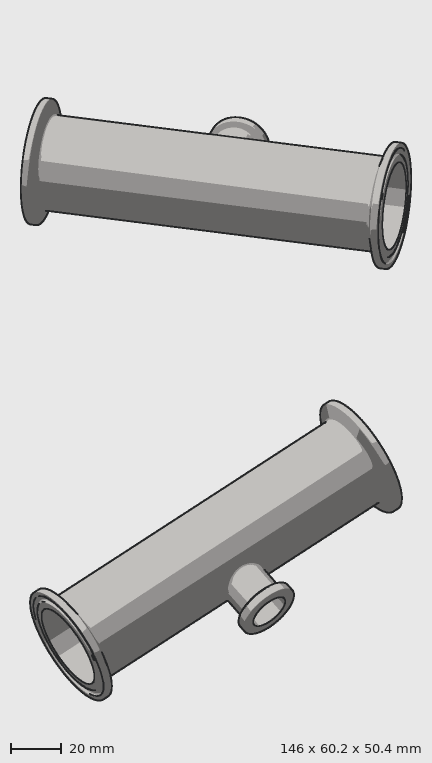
import cadquery as cq
import math

run_length = 146
run_outer_dia = 38.1
run_bore_dia = 34.8
run_flange_dia = 50.4
run_rim_width = 2.9
run_face_round = 0.3
run_back_round = 0.6
run_neck_round = 1.2

groove_mid_radius = 21.8
groove_width = 2.8
groove_depth = 1.2
groove_lip_round = 0.5

overall_depth = 60.2
branch_face_y = overall_depth - run_flange_dia / 2
branch_outer_dia = 19
branch_bore_dia = 15.8
branch_flange_dia = 25.0
branch_rim_width = 3.8
branch_face_round = 0.5
branch_back_round = 0.5
branch_neck_round = 0.7
branch_root_round = 1.5

clamp_angle = 20
margin = 0.1


def edges_at_height(reach, z):
    """Selector for edges whose whole extent lies at height z, within reach of the Z axis."""
    return cq.selectors.BoxSelector(
        (-reach, -reach, z - margin), (reach, reach, z + margin), boundingbox=True
    )


def ferrule(pipe_dia, flange_dia, rim_width, face_round, back_round, neck_round, length):
    """Solid pipe along +Z from a clamp flange whose face lies on Z = 0."""
    pipe_radius = pipe_dia / 2
    flange_radius = flange_dia / 2
    cone_length = (flange_radius - pipe_radius) * math.tan(math.radians(clamp_angle))
    neck_z = rim_width + cone_length
    body = (
        cq.Workplane("XZ")
        .moveTo(0, 0)
        .lineTo(flange_radius, 0)
        .lineTo(flange_radius, rim_width)
        .lineTo(pipe_radius, neck_z)
        .lineTo(pipe_radius, length)
        .lineTo(0, length)
        .close()
        .revolve(360, (0, 0), (0, 1))
    )
    reach = flange_radius + margin
    for z, radius in ((neck_z, neck_round), (rim_width, back_round), (0, face_round)):
        body = body.edges(edges_at_height(reach, z)).fillet(radius)
    return body


def gasket_groove():
    """Ring cutter with an arc-shaped section, sunk into the face at Z = 0."""
    return (
        cq.Workplane("XZ")
        .moveTo(groove_mid_radius - groove_width / 2, 0)
        .threePointArc(
            (groove_mid_radius, groove_depth),
            (groove_mid_radius + groove_width / 2, 0),
        )
        .close()
        .revolve(360, (0, 0), (0, 1))
    )


def run_half():
    """Left half of the run, with its grooved flange face at the -X end."""
    half_length = run_length / 2
    body = ferrule(
        run_outer_dia,
        run_flange_dia,
        run_rim_width,
        run_face_round,
        run_back_round,
        run_neck_round,
        half_length,
    )
    groove_reach = groove_mid_radius + groove_width / 2 + margin
    body = body.cut(gasket_groove())
    body = body.edges(edges_at_height(groove_reach, 0)).fillet(groove_lip_round)
    return body.rotate((0, 0, 0), (0, 1, 0), 90).translate((-half_length, 0, 0))


def branch():
    """Solid branch from the run axis out to its flange face at the +Y end."""
    body = ferrule(
        branch_outer_dia,
        branch_flange_dia,
        branch_rim_width,
        branch_face_round,
        branch_back_round,
        branch_neck_round,
        branch_face_y,
    )
    return body.rotate((0, 0, 0), (1, 0, 0), 90).translate((0, branch_face_y, 0))


def blend_branch_root(body):
    """Round the saddle edge where the branch meets the run."""
    saddle = cq.selectors.BoxSelector(
        (-branch_outer_dia, run_outer_dia / 4, -branch_outer_dia),
        (branch_outer_dia, run_outer_dia / 2 + margin, branch_outer_dia),
    )
    return body.edges(saddle).fillet(branch_root_round)


left_half = run_half()
run = left_half.union(left_half.mirror("YZ")).clean()
outer_body = blend_branch_root(run.union(branch()))

run_bore = cq.Workplane("YZ").circle(run_bore_dia / 2).extrude(run_length / 2, both=True)
branch_bore = cq.Workplane("XZ").circle(branch_bore_dia / 2).extrude(-branch_face_y)

result = outer_body.cut(run_bore).cut(branch_bore)